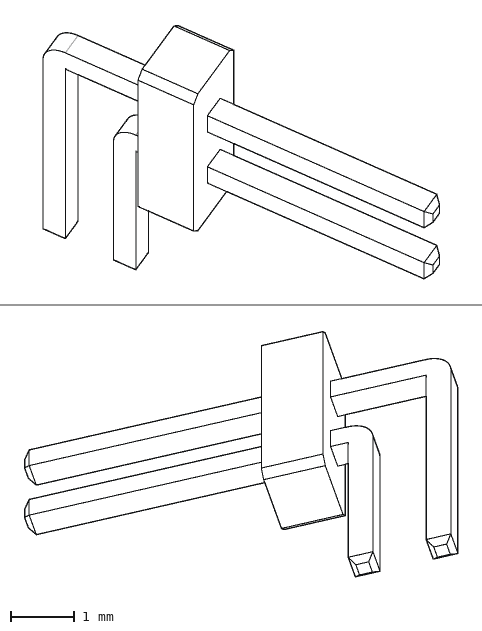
import cadquery as cq

overall_length = 6.97
overall_height = 5.58
pitch = 1.27
pin_width = 0.405
tip_length = 0.105
tip_inset = 0.1
housing_length = 1.005
housing_height = 3.4
housing_start = 1.96
housing_chamfer = 0.13
pin_count = 2

housing_center_z = overall_height - housing_height / 2
outer_pin_z = housing_center_z + pitch * (pin_count - 1) / 2


def make_housing():
    """Rectangular block with its four lengthwise edges chamfered."""
    return (
        cq.Workplane("XY")
        .box(housing_length, pitch, housing_height)
        .edges("|X")
        .chamfer(housing_chamfer)
        .translate((housing_start + housing_length / 2, 0, housing_center_z))
    )


def make_tip(plane):
    """Tapered square end, growing along the normal of the plane."""
    tip_width = pin_width - 2 * tip_inset
    return (
        cq.Workplane(plane)
        .rect(pin_width, pin_width)
        .workplane(offset=tip_length)
        .rect(tip_width, tip_width)
        .loft(combine=True)
    )


def make_pin(back_x, center_z):
    """Right-angle pin with a rounded outer bend and a sharp inner corner."""
    top_z = center_z + pin_width / 2
    shank_end_x = overall_length - tip_length
    shank = (
        cq.Workplane("XZ")
        .moveTo(back_x, tip_length)
        .lineTo(back_x, top_z - pin_width)
        .radiusArc((back_x + pin_width, top_z), pin_width)
        .lineTo(shank_end_x, top_z)
        .lineTo(shank_end_x, top_z - pin_width)
        .lineTo(back_x + pin_width, top_z - pin_width)
        .lineTo(back_x + pin_width, tip_length)
        .close()
        .extrude(pin_width / 2, both=True)
    )
    foot_center = (back_x + pin_width / 2, 0, tip_length)
    foot = make_tip(cq.Plane(foot_center, xDir=(1, 0, 0), normal=(0, 0, -1)))
    contact_center = (shank_end_x, 0, center_z)
    contact = make_tip(cq.Plane(contact_center, xDir=(0, 1, 0), normal=(1, 0, 0)))
    return shank.union(foot).union(contact)


result = make_housing()
for index in range(pin_count):
    result = result.union(make_pin(index * pitch, outer_pin_z - index * pitch))